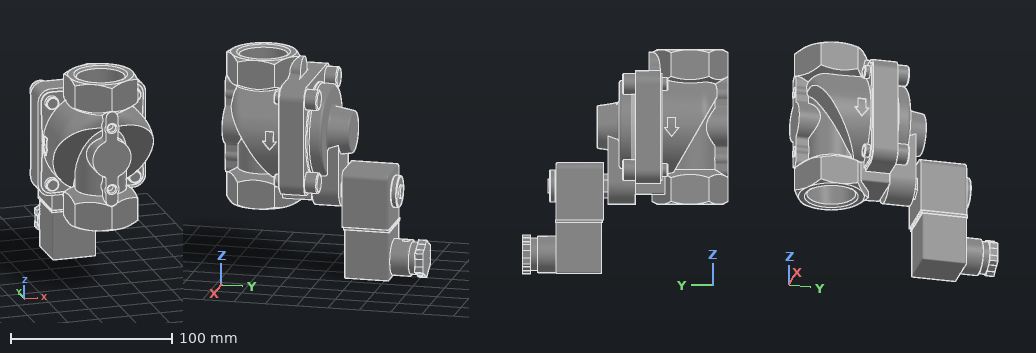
import cadquery as cq
import math


port_end = 48.0
hex_corners = 47.3
hex_flats = hex_corners * math.cos(math.pi / 6)
hex_inner_end = 29.4
hex_outer_drop = 1.8
pipe_diameter = 32.0
pipe_web_back = 5.8
pipe_shoulder = 26.5
bore_diameter = 30.3
bore_mouth = 33.4
bore_depth = 15.7
bore_chamfer = (bore_mouth - bore_diameter) / 2

chamber_radius = 32.3
chamber_floor = -16.8
chamber_round = 10.2
cut_angle = 60.0
cut_top = 18.8

flange_side = 70.0
flange_corner = 8.2
flange_back = 18.2
flange_front = 34.0
inset_corner_half = 33.1
inset_middle_half = chamber_radius
inset_straight = 23.7
inset_back = 17.3
bolt_offset = flange_side / 2 - flange_corner
bolt_head_diameter = 13.0
bolt_head_top = 41.9
bolt_head_bevel = 0.7
bolt_diameter = 8.1
bolt_tip = 13.8
bolt_chamfer = 0.5

cover_radius = 29.1
cover_step_radius = 29.9
cover_step_side = 34.8
cover_step_top = 36.0
cover_top = 44.0
cover_round = 1.8
knob_base_radius = 15.2
knob_top_radius = 13.2
knob_top = 57.7
knob_round = 1.1
knob_foot = 1.7

lug_radius = 8.5
lug_front = 25.6
lug_fillet = 3.0
channel_half_width = 14.2
channel_round = 1.1
channel_bottom = -41.9
channel_back = 13.9
bridge_half_width = 13.2
bridge_end = -port_end
bridge_front = 50.9
tube_hex_corners = 15.0

boss_back = -hex_corners / 2
boss_depth = 9.7
boss_fillet = 2.0
boss_radius = 12.4
arm_half_width = 3.8
arm_end = 31.0
hole_offset = 20.0
hole_boss_radius = 4.6
hole_boss_fillet = 2.5
hole_diameter = 5.0
hole_depth = 5.5
hole_mouth = 6.5
hole_cone_depth = 0.8

arrow_relief = 0.4
arrow_tip = -5.8
arrow_shoulder = -0.3
arrow_tail = 6.0
arrow_middle = 11.4
arrow_half_width = 4.5
arrow_shaft_half = 2.5

coil_back = 53.6
coil_front = 83.2
coil_width = 30.0
coil_top = -22.0
coil_bottom = -57.7
coil_round = 4.3
coil_edge = 1.3
coil_axis = -36.6
coil_nut_diameter = 20.0
coil_nut_bevel = 0.5
coil_nut_front = 87.2
stud_diameter = 8.5
stud_front = 88.2

gasket_bottom = -59.4
gasket_width = 29.2
gasket_back = 54.4
gasket_front = 83.6
plug_width = 28.1
plug_back = 54.8
plug_bottom = -91.0
plug_edge = 0.8
gland_axis = -79.0
gland_diameter = 23.0
gland_front = 94.8
gland_round = 0.8
collar_diameter = 20.3
collar_front = 99.0
gland_nut_corners = 24.2
gland_nut_front = 104.1
nut_groove_width = 4.9
nut_groove_depth = 0.21
spot_diameter = 4.9
spot_middle = 91.0
spot_depth = 0.3


def cylinder_y(radius, y_start, y_end, x=0.0, z=0.0):
    """Cylinder along Y."""
    height = y_end - y_start
    return cq.Workplane(cq.Solid.makeCylinder(radius, height, cq.Vector(x, y_start, z), cq.Vector(0, 1, 0)))


def block(x_size, y_start, y_end, z_start, z_end):
    """Box centred on x = 0."""
    corner = cq.Vector(-x_size / 2, y_start, z_start)
    return cq.Workplane(cq.Solid.makeBox(x_size, y_end - y_start, z_end - z_start, corner))


def plane_y(y, z=0.0):
    """Sketch plane across Y, with X to the right, Z up and extrusion towards -Y."""
    return cq.Workplane("XZ", origin=(0, y, z))


def hexagon_y(corners, y_start, y_end, z):
    """Hexagonal prism along Y with two corners on the vertical line through its axis."""
    hexagon = plane_y(y_end, z).polygon(6, corners).extrude(y_end - y_start)
    return hexagon.rotate((0, 0, z), (0, 1, z), 90)


def make_chamber():
    """Round chamber with arrows on its sides, trimmed by a sloping flat."""
    body = cylinder_y(chamber_radius, chamber_floor, flange_back)
    body = body.faces("<Y").edges().fillet(chamber_round)
    for side in (-1, 1):
        body = body.union(make_arrow(side))
    run = 2 * chamber_radius
    rise = run * math.tan(math.radians(cut_angle))
    wedge = (
        cq.Workplane("YZ", origin=(-run, 0, 0))
        .moveTo(chamber_floor - run, cut_top + rise)
        .lineTo(chamber_floor + run, cut_top - rise)
        .lineTo(chamber_floor - run, cut_top - rise)
        .close()
        .extrude(2 * run)
    )
    return body.cut(wedge)


def make_arrow(side):
    """Raised arrow that points to the lower port."""
    outline = (
        cq.Workplane("YZ")
        .moveTo(arrow_middle, arrow_tip)
        .lineTo(arrow_middle + arrow_half_width, arrow_shoulder)
        .lineTo(arrow_middle + arrow_shaft_half, arrow_shoulder)
        .lineTo(arrow_middle + arrow_shaft_half, arrow_tail)
        .lineTo(arrow_middle - arrow_shaft_half, arrow_tail)
        .lineTo(arrow_middle - arrow_shaft_half, arrow_shoulder)
        .lineTo(arrow_middle - arrow_half_width, arrow_shoulder)
        .close()
    )
    arrow = outline.extrude(side * (chamber_radius + arrow_relief))
    return arrow.intersect(cylinder_y(chamber_radius + arrow_relief, chamber_floor, flange_back))


def make_pipe():
    """Pipe between the two ports, with a flat-sided web to the chamber."""
    start = cq.Workplane("XY", origin=(0, 0, -pipe_shoulder))
    pipe = start.circle(pipe_diameter / 2).extrude(2 * pipe_shoulder)
    web_width = 2 * math.sqrt((pipe_diameter / 2) ** 2 - pipe_web_back ** 2)
    return pipe.union(block(web_width, pipe_web_back, flange_back, -pipe_shoulder, pipe_shoulder))


def make_port_hexagon():
    """Upper port hexagon, bevelled by a cone at both ends."""
    hexagon = cq.Workplane("XY", origin=(0, 0, pipe_shoulder)).polygon(6, hex_corners)
    hexagon = hexagon.extrude(port_end - pipe_shoulder).rotate((0, 0, 0), (0, 0, 1), 90)
    pipe_radius = pipe_diameter / 2
    flat_radius = hex_flats / 2
    corner_radius = hex_corners / 2
    inner_slope = (hex_inner_end - pipe_shoulder) / (flat_radius - pipe_radius)
    corner_inner = pipe_shoulder + inner_slope * (corner_radius - pipe_radius)
    envelope = (
        cq.Workplane("XZ")
        .moveTo(0, pipe_shoulder)
        .lineTo(pipe_radius, pipe_shoulder)
        .lineTo(corner_radius, corner_inner)
        .lineTo(corner_radius, port_end - hex_outer_drop)
        .lineTo(flat_radius, port_end)
        .lineTo(0, port_end)
        .close()
        .revolve(360, (0, 0), (0, 1))
    )
    return hexagon.intersect(envelope)


def make_port_bore():
    """Blind bore of the upper port with a bevelled mouth."""
    floor = cq.Workplane("XY", origin=(0, 0, port_end - bore_depth))
    bore = floor.circle(bore_diameter / 2).extrude(bore_depth)
    mouth = cq.Solid.makeCone(
        bore_diameter / 2, bore_mouth / 2, bore_chamfer, cq.Vector(0, 0, port_end - bore_chamfer)
    )
    return bore.union(cq.Workplane(mouth))


def mirrored_down(upper):
    return upper.mirror("XY")


def make_flange():
    flange = block(flange_side, flange_back, flange_front, -flange_side / 2, flange_side / 2)
    flange = flange.edges("|Y").fillet(flange_corner)
    return flange.union(make_inset())


def make_inset():
    """Raised back face whose sides lean in slightly towards their middles."""
    quarter_points = [
        (inset_corner_half, -inset_straight),
        (inset_middle_half, 0),
        (inset_corner_half, inset_straight),
        (inset_corner_half, inset_corner_half),
    ]
    points = []
    for quarter in range(4):
        cosine = round(math.cos(quarter * math.pi / 2))
        sine = round(math.sin(quarter * math.pi / 2))
        points += [(x * cosine - z * sine, x * sine + z * cosine) for x, z in quarter_points]
    inset = plane_y(flange_back).polyline(points).close().extrude(flange_back - inset_back)
    rounded = block(2 * inset_corner_half, inset_back, flange_back, -inset_corner_half, inset_corner_half)
    corner_radius = flange_corner - (flange_side / 2 - inset_corner_half)
    return inset.intersect(rounded.edges("|Y").fillet(corner_radius))


def make_bolt(x, z):
    """Cover bolt with a round head."""
    head = cylinder_y(bolt_head_diameter / 2, flange_front, bolt_head_top, x, z)
    head = head.faces(">Y").chamfer(bolt_head_bevel)
    shank = cylinder_y(bolt_diameter / 2, bolt_tip, flange_front, x, z)
    return head.union(shank.faces("<Y").chamfer(bolt_chamfer))


def make_cover():
    """Round cover with a bevelled step at its foot and a tapered knob on top."""
    profile = (
        cq.Workplane("XY")
        .moveTo(0, flange_front)
        .lineTo(cover_step_radius, flange_front)
        .lineTo(cover_step_radius, cover_step_side)
        .lineTo(cover_radius, cover_step_top)
        .lineTo(cover_radius, cover_top - cover_round)
        .tangentArcPoint((cover_radius - cover_round, cover_top), relative=False)
        .lineTo(knob_base_radius + knob_foot, cover_top)
        .tangentArcPoint((knob_base_radius, cover_top + knob_foot), relative=False)
        .lineTo(knob_top_radius, knob_top)
        .lineTo(0, knob_top)
        .close()
    )
    cover = profile.revolve(360, (0, 0), (0, 1))
    return cover.faces(">Y").edges().fillet(knob_round)


def make_top_lug():
    """Round lug on the flange edge, with a fillet on both sides where it leaves the flange."""
    depth = lug_front - flange_back
    edge = flange_side / 2
    foot = lug_radius + lug_fillet
    bulge = lug_fillet * (1 - math.sqrt(0.5))
    return (
        plane_y(lug_front)
        .moveTo(-foot, 0)
        .lineTo(-foot, edge)
        .threePointArc((-lug_radius - bulge, edge + bulge), (-lug_radius, edge + lug_fillet))
        .threePointArc((0, edge + lug_fillet + lug_radius), (lug_radius, edge + lug_fillet))
        .threePointArc((lug_radius + bulge, edge + bulge), (foot, edge))
        .lineTo(foot, 0)
        .close()
        .extrude(depth)
    )


def make_pilot_bridge():
    """Arm from the cover down to the coil, the channel block behind it and the tube hexagon."""
    round_middle = bridge_end + bridge_half_width
    arm = block(2 * bridge_half_width, flange_front, bridge_front, round_middle, 0)
    arm = arm.union(cylinder_y(bridge_half_width, flange_front, bridge_front, 0, round_middle))
    channel = block(2 * channel_half_width, channel_back, flange_front, channel_bottom, 0)
    channel = channel.faces("<Z").edges("|Y").fillet(channel_round)
    tube = hexagon_y(tube_hex_corners, bridge_front, coil_back, coil_axis)
    return arm.union(channel).union(tube)


def make_back_boss():
    """Round boss with an arm and a round-ended screw hole above and below."""
    far = boss_back + boss_depth
    boss = cylinder_y(boss_radius, boss_back, far)
    boss = boss.union(plane_y(far).slot2D(2 * arm_end, 2 * arm_half_width, 90).extrude(boss_depth))
    boss = boss.edges("|Y").edges(arm_edges(0, boss_radius)).fillet(boss_fillet)
    for z in (-hole_offset, hole_offset):
        boss = boss.union(cylinder_y(hole_boss_radius, boss_back, far, 0, z))
        boss = boss.edges("|Y").edges(arm_edges(z, hole_boss_radius)).fillet(hole_boss_fillet)
    core = cylinder_y(boss_radius, boss_back, 0)
    return boss.union(core)


def arm_edges(z, radius):
    """Edges where the sides of the arm meet a round boss at height z."""
    side = (arm_half_width + hole_boss_radius) / 2
    return cq.selectors.BoxSelector(
        (-side, boss_back, z - radius), (side, boss_back + boss_depth, z + radius)
    )


def make_boss_hole(z):
    """Screw hole with a conical mouth and a conical tip."""
    radius = hole_diameter / 2
    mouth_radius = hole_mouth / 2
    end = boss_back + hole_depth
    mouth_end = boss_back + mouth_radius - radius
    profile = (
        cq.Workplane("XY")
        .moveTo(0, boss_back)
        .lineTo(mouth_radius, boss_back)
        .lineTo(radius, mouth_end)
        .lineTo(radius, end)
        .lineTo(0, end + hole_cone_depth)
        .close()
    )
    return profile.revolve(360, (0, 0), (0, 1)).translate((0, 0, z))


def make_valve():
    hexagon = make_port_hexagon()
    valve = make_chamber().union(make_pipe()).union(hexagon).union(mirrored_down(hexagon))
    valve = valve.union(make_flange()).union(make_top_lug())
    valve = valve.union(make_cover()).union(make_pilot_bridge()).union(make_back_boss())
    for x in (-bolt_offset, bolt_offset):
        for z in (-bolt_offset, bolt_offset):
            valve = valve.union(make_bolt(x, z))
    bore = make_port_bore()
    valve = valve.cut(bore).cut(mirrored_down(bore))
    for z in (-hole_offset, hole_offset):
        valve = valve.cut(make_boss_hole(z))
    return valve


def make_coil():
    """Coil housing with its round fixing nut and the end of its stud."""
    coil = block(coil_width, coil_back, coil_front, coil_bottom, coil_top)
    coil = coil.faces(">Z").edges("|Y").fillet(coil_round)
    coil = coil.faces(">Y").edges("not <Z").fillet(coil_edge)
    nut = cylinder_y(coil_nut_diameter / 2, coil_front, coil_nut_front, 0, coil_axis)
    nut = nut.faces("<Y or >Y").chamfer(coil_nut_bevel)
    stud = cylinder_y(stud_diameter / 2, coil_nut_front, stud_front, 0, coil_axis)
    return coil.union(nut).union(stud)


def make_gland_nut():
    """Hexagonal nut with a shallow groove along the middle of each side."""
    nut = hexagon_y(gland_nut_corners, collar_front, gland_nut_front, gland_axis)
    flat_distance = gland_nut_corners / 2 * math.cos(math.pi / 6)
    bottom = gland_axis + flat_distance - nut_groove_depth
    groove = block(nut_groove_width, collar_front, gland_nut_front, bottom, gland_axis + gland_nut_corners)
    for side in range(6):
        nut = nut.cut(groove.rotate((0, 0, gland_axis), (0, 1, gland_axis), 30 + 60 * side))
    return nut


def make_plug():
    """Connector box with its gasket, cable gland and gland nut."""
    box = block(plug_width, plug_back, coil_front, plug_bottom, gasket_bottom)
    box = box.edges("not >Z").fillet(plug_edge)
    gasket = block(gasket_width, gasket_back, gasket_front, gasket_bottom, coil_bottom)
    gland = cylinder_y(gland_diameter / 2, coil_front - plug_edge, gland_front, 0, gland_axis)
    gland = gland.faces(">Y").edges().fillet(gland_round)
    spot = cq.Workplane("XY", origin=(0, spot_middle, gland_axis + gland_diameter / 2 - spot_depth))
    gland = gland.cut(spot.circle(spot_diameter / 2).extrude(gland_diameter))
    collar = cylinder_y(collar_diameter / 2, coil_front, collar_front, 0, gland_axis)
    return box.union(gasket).union(gland).union(collar).union(make_gland_nut())


valve = make_valve()
coil = make_coil()
plug = make_plug()
result = cq.Compound.makeCompound([valve.solids().val(), coil.solids().val(), plug.solids().val()])